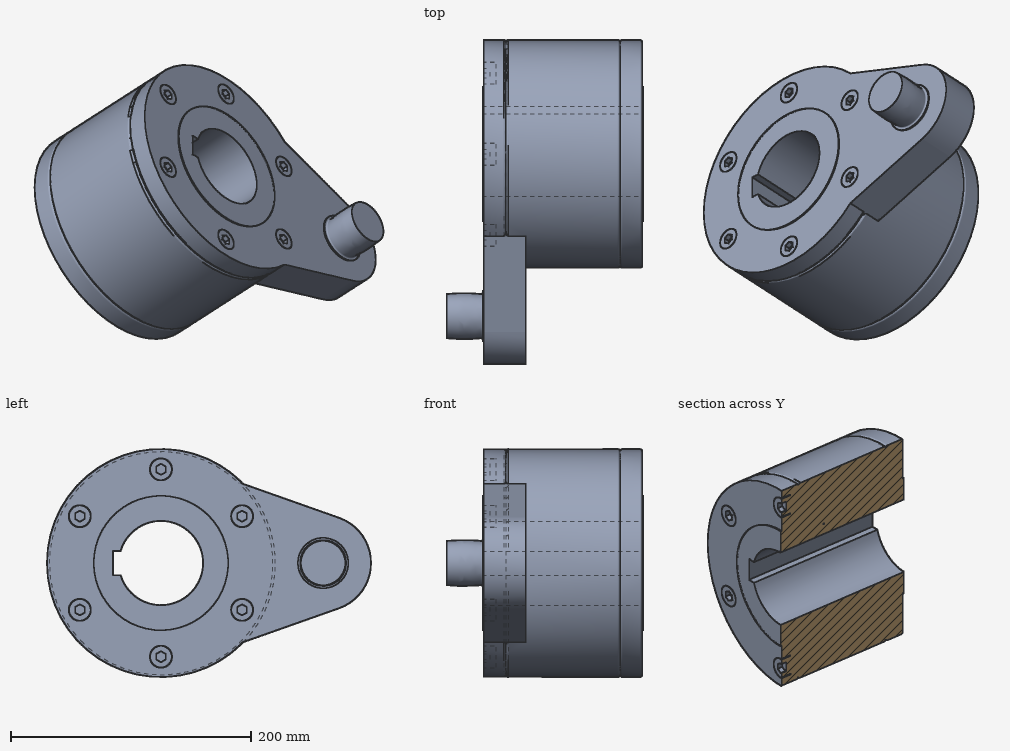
import cadquery as cq
import math

drum_radius = 95.0
drum_length = 132.0
flange_thickness = 18.5
edge_round = 2.0

hub_radius = 56.0
hub_height = 1.0

bore_radius = 35.0
key_width = 20.0
key_depth = 4.9

arm_thickness = 35.0
arm_root_radius = 85.0
arm_end_radius = 40.0
pin_offset = 135.0

collar_radius = 21.0
collar_height = 1.0
root_fillet = 1.0
pin_length = 31.0
pin_end_radius = 18.5
pin_crown_radius = 19.25

screw_count = 6
screw_circle_radius = 78.0
screw_head_radius = 9.0
screw_gap = 0.25
screw_head_depth = 10.0
hex_across_flats = 8.0
hex_depth = 5.0
hex_sides = 6

quarter_turn = 90
full_turn = 360


def x_cylinder(radius, x_start, x_end, y=0.0, z=0.0):
    """Cylinder along X between two stations."""
    return (
        cq.Workplane("YZ", origin=(x_start, y, z))
        .circle(radius)
        .extrude(x_end - x_start)
    )


def make_drum():
    """Plain drum with its far outer edge rounded."""
    drum = x_cylinder(drum_radius, 0, drum_length)
    return drum.faces(">X").edges().fillet(edge_round)


def make_groove(x_middle):
    """Groove left where two rounded drum edges meet."""
    arc_bulge = edge_round * (1 - math.sqrt(0.5))
    profile = (
        cq.Workplane("XY")
        .moveTo(x_middle - edge_round, drum_radius)
        .threePointArc(
            (x_middle - arc_bulge, drum_radius - arc_bulge),
            (x_middle, drum_radius - edge_round),
        )
        .threePointArc(
            (x_middle + arc_bulge, drum_radius - arc_bulge),
            (x_middle + edge_round, drum_radius),
        )
        .close()
    )
    return profile.revolve(full_turn, (0, 0, 0), (1, 0, 0))


def make_arm():
    """Plate bounded by the common tangents of the root and end circles."""
    tangent_sin = (arm_root_radius - arm_end_radius) / pin_offset
    tangent_cos = math.sqrt(1 - tangent_sin**2)
    root_y = -arm_root_radius * tangent_sin
    root_z = arm_root_radius * tangent_cos
    end_y = -pin_offset - arm_end_radius * tangent_sin
    end_z = arm_end_radius * tangent_cos
    return (
        cq.Workplane("YZ")
        .moveTo(root_y, root_z)
        .lineTo(end_y, end_z)
        .threePointArc((-pin_offset - arm_end_radius, 0), (end_y, -end_z))
        .lineTo(root_y, -root_z)
        .close()
        .extrude(arm_thickness)
    )


def make_pin():
    """Collar, root fillet and barrel-shaped pin, turned about the pin axis."""
    pin_start = collar_height + root_fillet
    fillet_bulge = root_fillet * (1 - math.sqrt(0.5))
    pin_middle = (pin_start + pin_length) / 2
    profile = (
        cq.Workplane("XY", origin=(0, -pin_offset, 0))
        .moveTo(0, 0)
        .lineTo(0, collar_radius)
        .lineTo(-collar_height, collar_radius)
        .lineTo(-collar_height, pin_end_radius + root_fillet)
        .threePointArc(
            (-collar_height - fillet_bulge, pin_end_radius + fillet_bulge),
            (-pin_start, pin_end_radius),
        )
        .threePointArc((-pin_middle, pin_crown_radius), (-pin_length, pin_end_radius))
        .lineTo(-pin_length, 0)
        .close()
    )
    return profile.revolve(full_turn, (0, 0, 0), (1, 0, 0))


def make_bore():
    """Through bore with a keyway on its +Y side."""
    x_start = -hub_height
    x_end = drum_length + hub_height
    keyway_depth = bore_radius + key_depth
    keyway = cq.Workplane("XY", origin=(x_start, 0, 0)).box(
        x_end - x_start, keyway_depth, key_width, centered=(False, False, True)
    )
    return x_cylinder(bore_radius, x_start, x_end).union(keyway)


def make_screw_recess(angle):
    """Annular gap around the screw head plus its hexagon socket."""
    y = screw_circle_radius * math.sin(angle)
    z = screw_circle_radius * math.cos(angle)
    gap = x_cylinder(screw_head_radius + screw_gap, 0, screw_head_depth, y, z).cut(
        x_cylinder(screw_head_radius, 0, screw_head_depth, y, z)
    )
    socket = (
        cq.Workplane("YZ", origin=(0, y, z))
        .polygon(hex_sides, hex_across_flats / math.cos(math.pi / hex_sides))
        .extrude(hex_depth)
        .rotate((0, y, z), (1, y, z), quarter_turn)
    )
    return gap.union(socket)


result = make_drum()
for groove_x in (flange_thickness, drum_length - flange_thickness):
    result = result.cut(make_groove(groove_x))
result = result.union(make_arm())
result = result.union(x_cylinder(hub_radius, -hub_height, drum_length + hub_height))
result = result.union(make_pin())
result = result.cut(make_bore())
for i in range(screw_count):
    result = result.cut(make_screw_recess(2 * math.pi * i / screw_count))